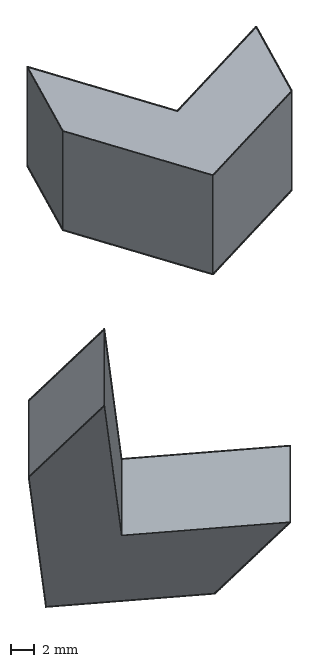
import cadquery as cq

arm_width = 10.0
half_span = 10.0
sweep = 10.0
thickness = 10.0

tail_x = -(arm_width + sweep) / 2
shoulder_x = tail_x + arm_width
notch_x = tail_x + sweep
tip_x = notch_x + arm_width

chevron_outline = [
    (tail_x, half_span),
    (shoulder_x, half_span),
    (tip_x, 0),
    (shoulder_x, -half_span),
    (tail_x, -half_span),
    (notch_x, 0),
]

result = cq.Workplane("XY").polyline(chevron_outline).close().extrude(thickness)